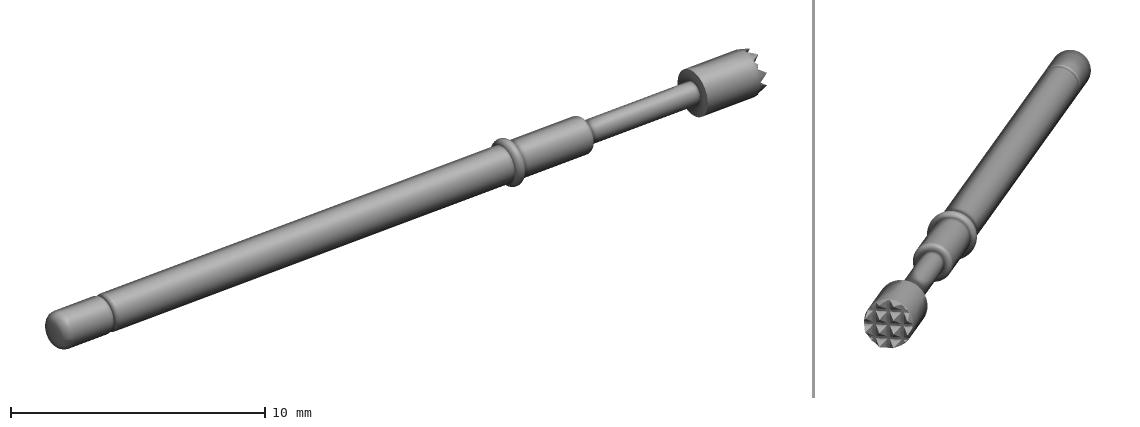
import cadquery as cq
import math

TOTAL_LENGTH = 34.3

BARREL_DIAMETER = 1.6
BARREL_LENGTH = 25.97
BARREL_FRONT_FILLET = 0.2
REAR_FILLET = 0.44

GROOVE_POSITION = 2.5
GROOVE_LIP_RADIUS = 0.2

COLLAR_DIAMETER = 2.0
COLLAR_REAR_POSITION = 22.0
COLLAR_WIDTH = 0.5

PLUNGER_DIAMETER = 1.0

HEAD_DIAMETER = 2.0
HEAD_LENGTH = 3.0
TOOTH_PITCH = 0.565
TOOTH_DEPTH = 0.4
VALLEY_WIDTH = 0.1
CUTS_EACH_SIDE = 1
TAPER_LENGTH = 0.47
TAPER_INSET = 0.1


def shaft(diameter, start, length):
    """Cylinder along +Y that begins at the axial position `start`."""
    plane = cq.Workplane("XZ", origin=(0, start, 0))
    return plane.circle(diameter / 2).extrude(-length)


def make_barrel():
    barrel = shaft(BARREL_DIAMETER, 0, BARREL_LENGTH)
    barrel = barrel.faces("<Y").edges().fillet(REAR_FILLET)
    barrel = barrel.faces(">Y").edges().fillet(BARREL_FRONT_FILLET)
    return barrel.cut(make_groove())


def make_groove():
    """Ring-shaped cut whose two rounded lips meet in a sharp root."""
    lip = GROOVE_LIP_RADIUS
    barrel_radius = BARREL_DIAMETER / 2
    root = (barrel_radius - lip, GROOVE_POSITION)
    rear_edge = (barrel_radius, GROOVE_POSITION - lip)
    front_edge = (barrel_radius, GROOVE_POSITION + lip)
    diagonal = lip * math.cos(math.radians(45))
    arc_radial = barrel_radius - lip + diagonal
    arc_axial = lip - diagonal
    return (
        cq.Workplane("XY")
        .moveTo(*rear_edge)
        .threePointArc((arc_radial, GROOVE_POSITION - arc_axial), root)
        .threePointArc((arc_radial, GROOVE_POSITION + arc_axial), front_edge)
        .close()
        .revolve(360, (0, 0, 0), (0, 1, 0))
    )


def make_collar():
    """Collar whose rim is fully rounded."""
    rim_radius = COLLAR_WIDTH / 2
    core_radius = COLLAR_DIAMETER / 2 - rim_radius
    front_position = COLLAR_REAR_POSITION + COLLAR_WIDTH
    middle_position = COLLAR_REAR_POSITION + rim_radius
    return (
        cq.Workplane("XY")
        .moveTo(0, COLLAR_REAR_POSITION)
        .lineTo(core_radius, COLLAR_REAR_POSITION)
        .threePointArc((COLLAR_DIAMETER / 2, middle_position), (core_radius, front_position))
        .lineTo(0, front_position)
        .close()
        .revolve(360, (0, 0, 0), (0, 1, 0))
    )


def make_plunger():
    return shaft(PLUNGER_DIAMETER, BARREL_LENGTH, TOTAL_LENGTH - HEAD_LENGTH - BARREL_LENGTH)


def serration_cut(offset):
    """Narrow-floored V prism along Z, at X = offset; its walls meet the next cut at the tooth tips."""
    return (
        cq.Workplane("XY")
        .moveTo(offset - TOOTH_PITCH / 2, TOTAL_LENGTH)
        .lineTo(offset - VALLEY_WIDTH / 2, TOTAL_LENGTH - TOOTH_DEPTH)
        .lineTo(offset + VALLEY_WIDTH / 2, TOTAL_LENGTH - TOOTH_DEPTH)
        .lineTo(offset + TOOTH_PITCH / 2, TOTAL_LENGTH)
        .close()
        .extrude(HEAD_DIAMETER, both=True)
    )


def make_head():
    """Contact head with a tapered end, cut into teeth by two crossing rows of V grooves."""
    head = shaft(HEAD_DIAMETER, TOTAL_LENGTH - HEAD_LENGTH, HEAD_LENGTH)
    head = head.faces(">Y").edges().chamfer(TAPER_LENGTH, TAPER_INSET)
    for index in range(-CUTS_EACH_SIDE, CUTS_EACH_SIDE + 1):
        cut = serration_cut(index * TOOTH_PITCH)
        head = head.cut(cut)
        head = head.cut(cut.rotate((0, 0, 0), (0, 1, 0), 90))
    return head


result = make_barrel().union(make_collar()).union(make_plunger()).union(make_head())